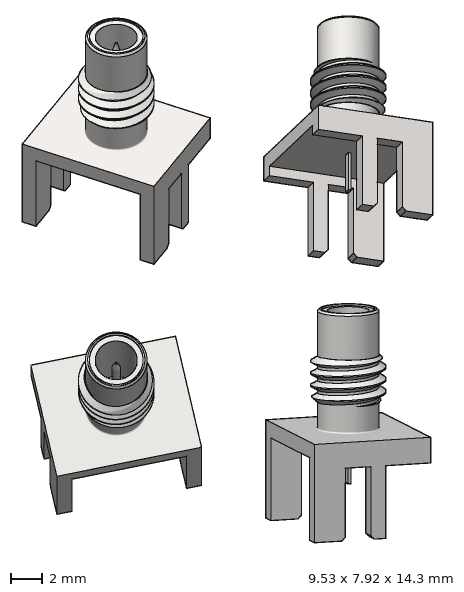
import cadquery as cq
import math

total_height = 14.27
plate_length = 9.53
plate_width = 7.92
plate_top = 6.44
plate_underside = 5.41
rail_underside = 4.75
rail_thickness = 1.0
front_leg_width = 2.1
rear_leg_width = 1.03
leg_gap = 1.74
leg_chamfer = 0.24

barrel_radius = 3.97 / 2
bore_radius = 2.7 / 2
rim_recess_radius = 3.45 / 2
rim_recess_depth = 0.11
rim_chamfer = 0.14
base_fillet = 0.1

thread_bottom = 8.2
thread_top = 11.26
thread_pitch = 0.8
thread_radius = 4.88 / 2
thread_depth = thread_radius - barrel_radius
crest_width = 0.09
flank_angle = math.radians(30)
root_overlap = 0.04
envelope_clearance = 0.07
end_step = 0.04
crest_height = 8.7
bore_floor = thread_bottom

pin_radius = 0.53 / 2
tail_bottom = 2.85
tail_thickness = 0.2
pin_top = 13.67
pin_tip_radius = 0.07
pin_tip_length = 0.71


def cylinder(radius, bottom, top):
    """Vertical cylinder on the Z axis between two heights."""
    return cq.Workplane("XY").workplane(offset=bottom).circle(radius).extrude(top - bottom)


def make_rail():
    """Side rail with a wide front leg and a narrow rear leg, centred on X."""
    front = -plate_width / 2
    gap_front = front + front_leg_width
    gap_rear = gap_front + leg_gap
    leg_rear = gap_rear + rear_leg_width
    outline = [
        (front, 0),
        (gap_front - leg_chamfer, 0),
        (gap_front, leg_chamfer),
        (gap_front, rail_underside),
        (gap_rear, rail_underside),
        (gap_rear, leg_chamfer),
        (gap_rear + leg_chamfer, 0),
        (leg_rear, 0),
        (leg_rear, rail_underside),
        (plate_width / 2, rail_underside),
        (plate_width / 2, plate_top),
        (front, plate_top),
    ]
    return cq.Workplane("YZ").polyline(outline).close().extrude(rail_thickness / 2, both=True)


def make_bracket():
    plate_thickness = plate_top - plate_underside
    bracket = (
        cq.Workplane("XY")
        .workplane(offset=plate_underside)
        .rect(plate_length, plate_width)
        .extrude(plate_thickness)
    )
    rail_offset = (plate_length - rail_thickness) / 2
    for side in (-1, 1):
        bracket = bracket.union(make_rail().translate((side * rail_offset, 0, 0)))
    return bracket


def make_barrel():
    """Solid barrel with a chamfered rim and a concave fillet at its foot."""
    arc_step = base_fillet * (1 - math.sqrt(0.5))
    return (
        cq.Workplane("XZ")
        .moveTo(0, plate_underside)
        .lineTo(barrel_radius + base_fillet, plate_underside)
        .lineTo(barrel_radius + base_fillet, plate_top)
        .threePointArc(
            (barrel_radius + arc_step, plate_top + arc_step),
            (barrel_radius, plate_top + base_fillet),
        )
        .lineTo(barrel_radius, total_height - rim_chamfer)
        .lineTo(barrel_radius - rim_chamfer, total_height)
        .lineTo(0, total_height)
        .close()
        .revolve(360, (0, 0, 0), (0, 1, 0))
    )


def make_thread():
    """Helical ridge trimmed by an envelope with 45 degree ends."""
    start = crest_height - 2 * thread_pitch
    helix_height = thread_top + thread_pitch - start
    helix = cq.Wire.makeHelix(thread_pitch, helix_height, barrel_radius)
    root_radius = barrel_radius - root_overlap
    half_crest = crest_width / 2
    half_root = half_crest + (thread_radius - root_radius) * math.tan(flank_angle)
    ridge = (
        cq.Workplane("XZ")
        .polyline([
            (root_radius, -half_root),
            (thread_radius, -half_crest),
            (thread_radius, half_crest),
            (root_radius, half_root),
        ])
        .close()
        .sweep(cq.Workplane(helix), isFrenet=True)
        .translate((0, 0, start))
    )
    envelope = (
        cylinder(thread_radius + envelope_clearance, thread_bottom, thread_top)
        .edges("%CIRCLE")
        .chamfer(thread_depth + envelope_clearance - end_step)
    )
    return ridge.intersect(envelope)


def make_pin():
    """Contact pin with a blunt conical tip and a flat solder tail below the plate."""
    tail = (
        cq.Workplane("XY")
        .workplane(offset=tail_bottom)
        .rect(2 * pin_radius, tail_thickness)
        .extrude(plate_top - tail_bottom)
    )
    contact = (
        cylinder(pin_radius, plate_top, pin_top)
        .faces(">Z")
        .chamfer(pin_tip_length, pin_radius - pin_tip_radius)
    )
    return contact.union(tail)


bore = cylinder(bore_radius, bore_floor, total_height)
rim_recess = cylinder(rim_recess_radius, total_height - rim_recess_depth, total_height)

result = make_bracket().union(make_barrel()).union(make_thread())
result = result.cut(bore).cut(rim_recess).union(make_pin())